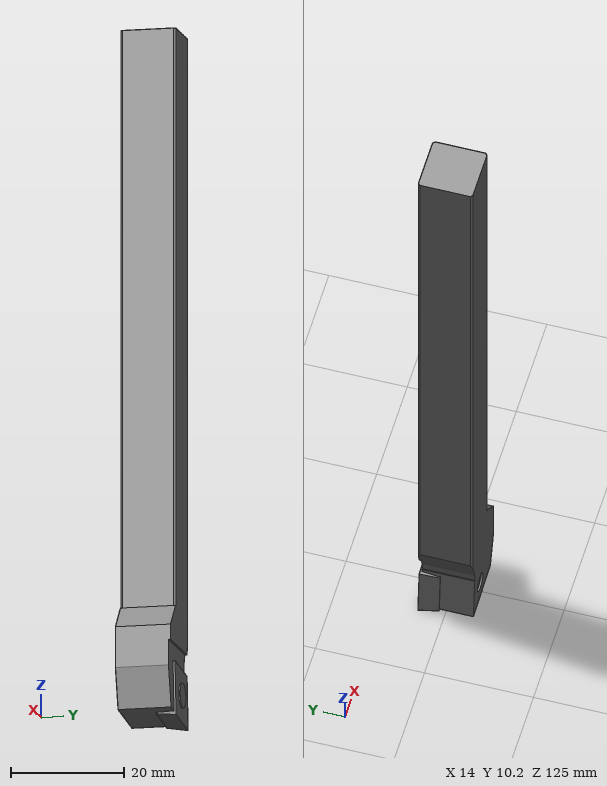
import cadquery as cq
import math

total_length = 125.0
shank_size = 10.0
edge_chamfer = 0.4
front_y = -shank_size / 2
back_y = shank_size / 2

head_right = 14.0
shoulder_bottom = 16.2
shoulder_top = 20.5
head_taper_start = 8.9
heel_x = 11.9
slope_top = 16.5
neck_top_x = 1.5
neck_bottom_x = 1.8
neck_top = 12.0
neck_bottom = 10.1
seat_corner = 0.8
face_relief_top = 13.5
face_relief_depth = 0.4

insert_edge = 9.6
insert_thickness = 3.8
tip_angle = 80.0
lead_angle = (90.0 - tip_angle) / 2
clearance_angle = 7.0
lead_slope = math.tan(math.radians(lead_angle))

screw_head_diameter = 4.5
screw_head_height = 0.2
screw_end_diameter = 3.5
screw_end_recess = 0.4

edge_long = insert_edge * math.cos(math.radians(lead_angle))
edge_short = insert_edge * math.sin(math.radians(lead_angle))
screw_x = screw_z = (edge_long + edge_short) / 2


def xz_plane(y):
    """Sketch plane at height y, with X right, Z up and its normal along -Y."""
    return cq.Workplane("XZ", origin=(0, y, 0))


def screw_cylinder(start_y, diameter, length):
    """Cylinder on the screw axis, running from start_y toward -Y."""
    return xz_plane(start_y).center(screw_x, screw_z).circle(diameter / 2).extrude(length)


def make_shank():
    length = total_length - shoulder_top
    return (
        cq.Workplane("XY", origin=(shank_size / 2, 0, shoulder_top))
        .rect(shank_size, shank_size)
        .extrude(length)
        .edges("|Z")
        .chamfer(edge_chamfer)
    )


def make_head():
    outline = [
        (0, shoulder_top),
        (0, slope_top),
        (neck_top_x, neck_top),
        (neck_bottom_x, neck_bottom),
        (seat_corner + (neck_bottom - seat_corner) * lead_slope, neck_bottom),
        (seat_corner, seat_corner),
        (heel_x, seat_corner + (heel_x - seat_corner) * lead_slope),
        (head_right, head_taper_start),
        (head_right, shoulder_bottom),
        (shank_size, shoulder_top),
    ]
    head = xz_plane(back_y).polyline(outline).close().extrude(shank_size)
    chamfered_envelope = (
        cq.Workplane("XY")
        .rect(head_right, shank_size)
        .extrude(shoulder_top)
        .translate((head_right / 2, 0, 0))
        .edges("|Z and <X")
        .chamfer(edge_chamfer)
    )
    head = head.intersect(chamfered_envelope)
    relief = (
        xz_plane(back_y)
        .rect(head_right, face_relief_top, centered=False)
        .extrude(face_relief_depth)
    )
    return head.cut(relief)


def make_insert_blank():
    rhombus = [
        (0, 0),
        (edge_long, edge_short),
        (edge_long + edge_short, edge_long + edge_short),
        (edge_short, edge_long),
    ]
    return (
        xz_plane(back_y)
        .polyline(rhombus)
        .close()
        .extrude(insert_thickness, taper=clearance_angle)
    )


def make_holder(insert_blank):
    screw_head = screw_cylinder(
        back_y + screw_head_height, screw_head_diameter, screw_head_height + insert_thickness
    )
    screw_end = screw_cylinder(front_y + screw_end_recess, screw_end_diameter, screw_end_recess)
    return make_shank().union(make_head()).cut(insert_blank).union(screw_head).cut(screw_end)


def make_insert(insert_blank):
    screw_hole = screw_cylinder(back_y, screw_head_diameter, insert_thickness)
    return insert_blank.cut(screw_hole)


blank = make_insert_blank()
holder = make_holder(blank)
insert = make_insert(blank)

result = cq.Compound.makeCompound([holder.solids().val(), insert.solids().val()])